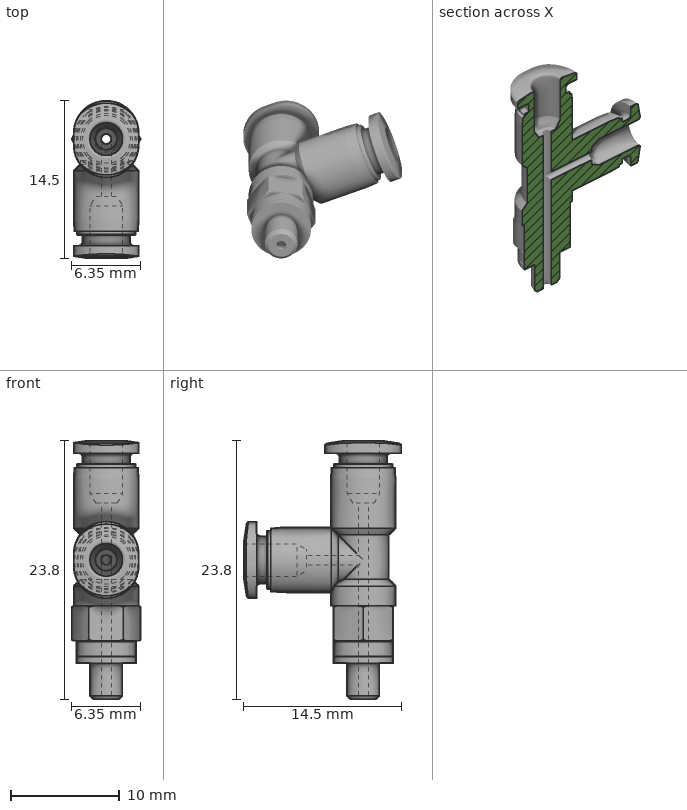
import cadquery as cq
import math

body_radius = 3.0
stem_radius = 2.38
port_reach = 10.97
base_depth = 12.83

ring_offset = 0.52
ring_thickness = 1.17
ring_end_radius = body_radius + ring_offset
face_edge_radius = 3.3
face_drop = 0.24
ring_edge_drop = 0.4
lip_radius = 1.78
neck_radius = 4.4 / 2
neck_fillet = 0.3
collar_radius = 5.4 / 2
collar_chamfer = 0.07
collar_depth = 2.12
sleeve_depth = 2.48
sleeve_taper_depth = 3.47
sleeve_end_radius = 2.93
stem_length = 2.3
shoulder_top = stem_length + body_radius - stem_radius

tube_radius = 3.0 / 2
seat_radius = 1.98 / 2
passage_radius = 0.9 / 2
seat_depth = 5.71
seat_cone_length = 0.85

base_cone_top = -1.78
base_cone_bottom = base_cone_top - (body_radius - stem_radius)
hex_top = -4.24
hex_bottom = -7.45
hex_flats = 5.5
hex_chamfer_angle = 30
washer_radius = 5.5 / 2
groove_top = -8.85
groove_width = 0.07
groove_depth = 0.07
washer_bottom = -9.5
stud_radius = 3.0 / 2
stud_chamfer = 0.33


def cylinder(radius, bottom, top):
    return cq.Workplane("XY").workplane(offset=bottom).circle(radius).extrude(top - bottom)


def turned(outline):
    """Revolve an XZ outline around the Z axis."""
    return outline.close().revolve(360, (0, 0, 0), (0, 1, 0))


def release_ring():
    """Oblong ring with a shallow conical face and a bevelled outer edge."""
    bottom = port_reach - ring_thickness
    oblong = (
        cq.Workplane("XY").workplane(offset=bottom)
        .slot2D(2 * ring_end_radius, 2 * body_radius, 90)
        .extrude(ring_thickness)
    )
    face = turned(
        cq.Workplane("XZ").moveTo(0, bottom)
        .lineTo(ring_end_radius, bottom)
        .lineTo(ring_end_radius, port_reach - ring_edge_drop)
        .lineTo(face_edge_radius, port_reach - face_drop)
        .lineTo(lip_radius, port_reach)
        .lineTo(0, port_reach)
    )
    return oblong.intersect(face)


def port_body():
    """Shoulder, sleeve, collar and neck, up to the underside of the ring."""
    ring_bottom = port_reach - ring_thickness
    collar_top = port_reach - collar_depth
    sleeve_top = port_reach - sleeve_depth
    return turned(
        cq.Workplane("XZ").moveTo(0, stem_length)
        .lineTo(stem_radius, stem_length)
        .lineTo(body_radius, shoulder_top)
        .lineTo(body_radius, port_reach - sleeve_taper_depth)
        .lineTo(sleeve_end_radius, sleeve_top)
        .lineTo(collar_radius, sleeve_top)
        .lineTo(collar_radius, collar_top - collar_chamfer)
        .lineTo(collar_radius - collar_chamfer, collar_top)
        .lineTo(neck_radius, collar_top)
        .lineTo(neck_radius, ring_bottom - neck_fillet)
        .radiusArc((neck_radius + neck_fillet, ring_bottom), neck_fillet)
        .lineTo(0, ring_bottom)
    )


def port_bore():
    """Rounded mouth, tube bore, and tapered seat."""
    mouth_round = lip_radius - tube_radius
    seat_floor = port_reach - seat_depth
    return turned(
        cq.Workplane("XZ").moveTo(0, seat_floor)
        .lineTo(seat_radius, seat_floor)
        .lineTo(tube_radius, seat_floor + seat_cone_length)
        .lineTo(tube_radius, port_reach - mouth_round)
        .radiusArc((lip_radius, port_reach), mouth_round)
        .lineTo(0, port_reach)
    )


def hexagon():
    """Hexagon with a flat towards -Y and its corners bevelled at both ends."""
    corner_radius = hex_flats / math.sqrt(3)
    bevel_height = (corner_radius - body_radius) * math.tan(math.radians(hex_chamfer_angle))
    prism = (
        cq.Workplane("XY").workplane(offset=hex_bottom)
        .polygon(6, 2 * corner_radius)
        .extrude(hex_top - hex_bottom)
    )
    bevel = turned(
        cq.Workplane("XZ").moveTo(0, hex_bottom)
        .lineTo(body_radius, hex_bottom)
        .lineTo(corner_radius, hex_bottom + bevel_height)
        .lineTo(corner_radius, hex_top - bevel_height)
        .lineTo(body_radius, hex_top)
        .lineTo(0, hex_top)
    )
    return prism.intersect(bevel)


def swivel_base():
    """Shouldered barrel, hexagon, washer and seal with narrow grooves above them, and stud."""
    barrel = turned(
        cq.Workplane("XZ").moveTo(0, base_cone_top)
        .lineTo(stem_radius, base_cone_top)
        .lineTo(body_radius, base_cone_bottom)
        .lineTo(body_radius, hex_top)
        .lineTo(0, hex_top)
    )
    core = cylinder(washer_radius - groove_depth, washer_bottom, hex_bottom)
    washer = cylinder(washer_radius, groove_top, hex_bottom - groove_width)
    seal = cylinder(washer_radius, washer_bottom, groove_top - groove_width)
    stud = cylinder(stud_radius, -base_depth, washer_bottom).faces("<Z").chamfer(stud_chamfer)
    return barrel.union(hexagon()).union(core).union(washer).union(seal).union(stud)


def turn_to_branch(shape):
    """Swing a shape built along +Z so that it points along -Y."""
    return shape.rotate((0, 0, 0), (1, 0, 0), 90)


port = port_body().union(release_ring())
bore = port_bore()
run_stem = cylinder(stem_radius, base_cone_top, stem_length)
branch_stem = turn_to_branch(cylinder(stem_radius, 0, stem_length))
through_passage = cylinder(passage_radius, -base_depth, port_reach)
branch_passage = turn_to_branch(cylinder(passage_radius, 0, port_reach))

result = run_stem.union(branch_stem).union(port).union(turn_to_branch(port)).union(swivel_base())
result = result.cut(bore).cut(turn_to_branch(bore)).cut(through_passage).cut(branch_passage)